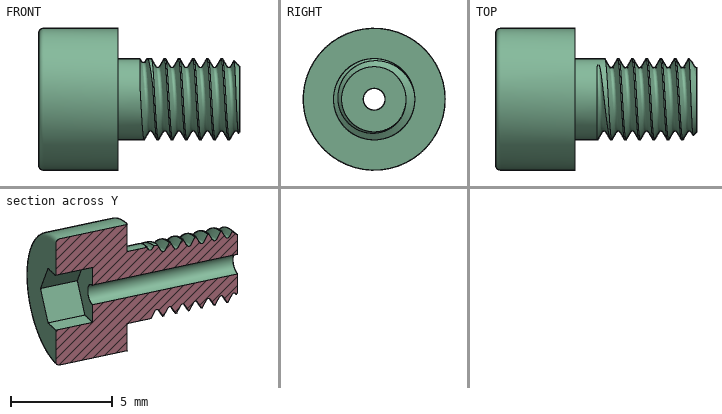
import cadquery as cq
import math

total_length = 9.91
head_diameter = 7.0
head_height = 3.91
head_fillet = 0.25
shank_diameter = 4.0
tip_chamfer = 0.4
socket_across_flats = 3.0
socket_sides = 6
socket_depth = 2.0
bore_diameter = 1.06

seven_turn_lead = 4.9
pitch = seven_turn_lead / 7
groove_depth = 0.44
root_fillet = 0.11
flank_half_angle = math.radians(30)
groove_start_x = 5.3
groove_start_angle = 70.0
cut_margin = 0.04
sections_per_turn = 12

shank_radius = shank_diameter / 2
root_radius = shank_radius - groove_depth
cutter_height = groove_depth + cut_margin
tangent_height = root_fillet * (1 - math.sin(flank_half_angle))
tangent_half_width = root_fillet * math.cos(flank_half_angle)
flank_height = cutter_height - tangent_height
cutter_half_width = tangent_half_width + flank_height * math.tan(flank_half_angle)
thread_turns = math.ceil((total_length - groove_start_x) / pitch) + 1
runout_turns = cutter_height * math.tan(flank_half_angle) / pitch


def make_blank():
    head = cq.Workplane("YZ").circle(head_diameter / 2).extrude(head_height)
    head = head.faces("<X").edges().fillet(head_fillet)
    shank = cq.Workplane("YZ", origin=(head_height, 0, 0))
    shank = shank.circle(shank_radius).extrude(total_length - head_height)
    shank = shank.faces(">X").edges().chamfer(tip_chamfer)
    return head.union(shank)


def groove_section(turn):
    """Groove profile in its axial plane, counted in turns from the end of the runout."""
    climb = max(0.0, -turn) / runout_turns * cutter_height
    base_radius = root_radius + climb
    base_x = groove_start_x + pitch * turn
    angle = math.radians(groove_start_angle) + 2 * math.pi * turn

    def place(offset, height):
        radius = base_radius + height
        return cq.Vector(base_x + offset, -radius * math.sin(angle), radius * math.cos(angle))

    outer_left = place(-cutter_half_width, cutter_height)
    root_left = place(-tangent_half_width, tangent_height)
    root_right = place(tangent_half_width, tangent_height)
    outer_right = place(cutter_half_width, cutter_height)
    return cq.Wire.assembleEdges([
        cq.Edge.makeLine(outer_left, root_left),
        cq.Edge.makeThreePointArc(root_left, place(0, 0), root_right),
        cq.Edge.makeLine(root_right, outer_right),
        cq.Edge.makeLine(outer_right, outer_left),
    ])


def groove_cutter(first_turn, last_turn):
    """Smooth loft through groove profiles spaced around the helix."""
    steps = math.ceil((last_turn - first_turn) * sections_per_turn)
    step = (last_turn - first_turn) / steps
    return cq.Solid.makeLoft([groove_section(first_turn + step * i) for i in range(steps + 1)])


def make_socket():
    across_corners = socket_across_flats / math.cos(math.pi / socket_sides)
    return cq.Workplane("YZ").polygon(socket_sides, across_corners).extrude(socket_depth)


def make_bore():
    return cq.Workplane("YZ").circle(bore_diameter / 2).extrude(total_length)


def cut_thread(body):
    """Cut the runout, then the full-depth groove one turn at a time."""
    body = body.cut(cq.Workplane(groove_cutter(-runout_turns, 0)))
    for turn in range(thread_turns):
        body = body.cut(cq.Workplane(groove_cutter(turn, turn + 1)))
    return body


result = cut_thread(make_blank())
result = result.cut(make_socket()).cut(make_bore()).solids()